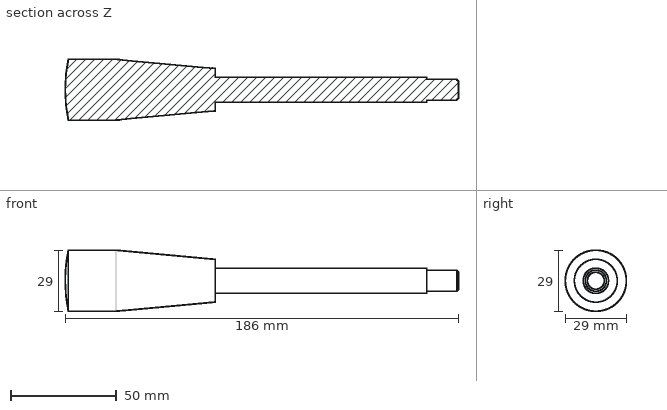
import cadquery as cq


grip_diameter = 29.0
grip_neck_diameter = 20.3
grip_straight_length = 22.5
grip_taper_length = 47.0
crown_height = 1.5

rod_diameter = 12.0
rod_length = 100.0

spigot_diameter = 10.0
spigot_length = 15.0
spigot_chamfer = 1.0


def make_grip():
    """Cylindrical head with a domed end, tapering down to the neck."""
    radius = grip_diameter / 2
    taper_start = -grip_taper_length
    crown_edge = taper_start - grip_straight_length
    crown_tip = crown_edge - crown_height

    crown_radius = (radius**2 + crown_height**2) / (2 * crown_height)
    crown_middle_offset = radius / 2
    crown_sag = crown_radius - (crown_radius**2 - crown_middle_offset**2) ** 0.5

    profile = (
        cq.Workplane("XZ")
        .moveTo(0, 0)
        .lineTo(0, grip_neck_diameter / 2)
        .lineTo(taper_start, radius)
        .lineTo(crown_edge, radius)
        .threePointArc((crown_tip + crown_sag, crown_middle_offset), (crown_tip, 0))
        .close()
    )
    return profile.revolve(360, (0, 0, 0), (1, 0, 0))


def make_rod():
    """Plain rod running from the neck of the grip."""
    return cq.Workplane("YZ").circle(rod_diameter / 2).extrude(rod_length)


def make_spigot():
    """Smaller cylinder on the end of the rod, chamfered at its tip."""
    return (
        cq.Workplane("YZ", origin=(rod_length, 0, 0))
        .circle(spigot_diameter / 2)
        .extrude(spigot_length)
        .faces(">X")
        .chamfer(spigot_chamfer)
    )


result = make_grip().union(make_rod()).union(make_spigot())